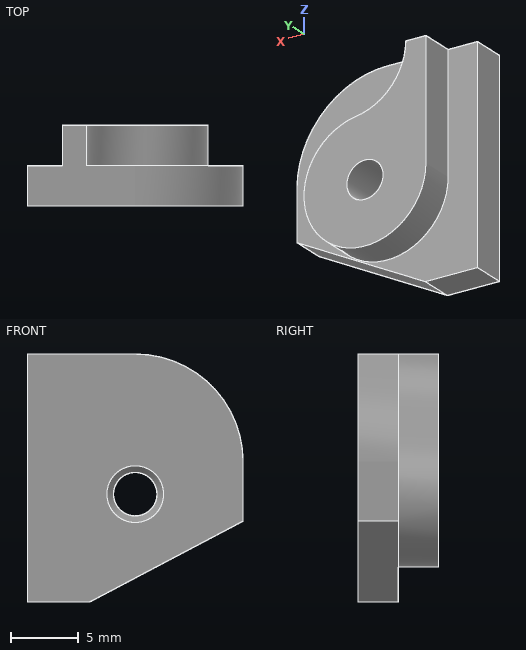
import cadquery as cq
import math

plate_width = 16.0
plate_height = 18.39
plate_thickness = 3.0
corner_radius = plate_width / 2
foot_width = 4.62
slope_end_height = 6.0

hole_x = plate_width / 2
hole_z = 8.0
hole_diameter = 3.2
countersink_diameter = 4.2
countersink_depth = (countersink_diameter - hole_diameter) / 2

boss_radius = 5.4
boss_height = 3.0
arm_width = 1.8
blend_radius = 5.1

total_depth = plate_thickness + boss_height


def front_facing_plane(y):
    """XZ plane at depth y; local axes follow X and Z, extrusion goes toward -Y."""
    return cq.Workplane("XZ", origin=(0, y, 0))


def make_plate():
    arc_offset = corner_radius * (1 - math.sqrt(0.5))
    return (
        front_facing_plane(plate_thickness)
        .lineTo(foot_width, 0)
        .lineTo(plate_width, slope_end_height)
        .lineTo(plate_width, plate_height - corner_radius)
        .threePointArc(
            (plate_width - arc_offset, plate_height - arc_offset),
            (plate_width - corner_radius, plate_height),
        )
        .lineTo(0, plate_height)
        .close()
        .extrude(plate_thickness)
    )


def make_boss_with_arm():
    arm_left = hole_x - boss_radius
    arm_right = arm_left + arm_width

    blend_x = arm_right + blend_radius
    center_distance = boss_radius + blend_radius
    blend_z = hole_z + math.sqrt(center_distance**2 - (blend_x - hole_x) ** 2)

    tangent_angle = math.atan2(blend_z - hole_z, blend_x - hole_x)
    tangent_x = hole_x + boss_radius * math.cos(tangent_angle)
    tangent_z = hole_z + boss_radius * math.sin(tangent_angle)

    blend_mid_angle = math.pi + tangent_angle / 2
    blend_mid_x = blend_x + blend_radius * math.cos(blend_mid_angle)
    blend_mid_z = blend_z + blend_radius * math.sin(blend_mid_angle)

    boss_mid_angle = (tangent_angle - math.pi) / 2
    boss_mid_x = hole_x + boss_radius * math.cos(boss_mid_angle)
    boss_mid_z = hole_z + boss_radius * math.sin(boss_mid_angle)

    return (
        front_facing_plane(total_depth)
        .moveTo(arm_left, plate_height)
        .lineTo(arm_right, plate_height)
        .lineTo(arm_right, blend_z)
        .threePointArc((blend_mid_x, blend_mid_z), (tangent_x, tangent_z))
        .threePointArc((boss_mid_x, boss_mid_z), (arm_left, hole_z))
        .close()
        .extrude(boss_height)
    )


def make_screw_hole():
    hole_radius = hole_diameter / 2
    countersink_radius = countersink_diameter / 2
    return (
        cq.Workplane("XY", origin=(hole_x, 0, hole_z))
        .lineTo(countersink_radius, 0)
        .lineTo(hole_radius, countersink_depth)
        .lineTo(hole_radius, total_depth)
        .lineTo(0, total_depth)
        .close()
        .revolve(360, (0, 0, 0), (0, 1, 0))
    )


result = make_plate().union(make_boss_with_arm()).cut(make_screw_hole())